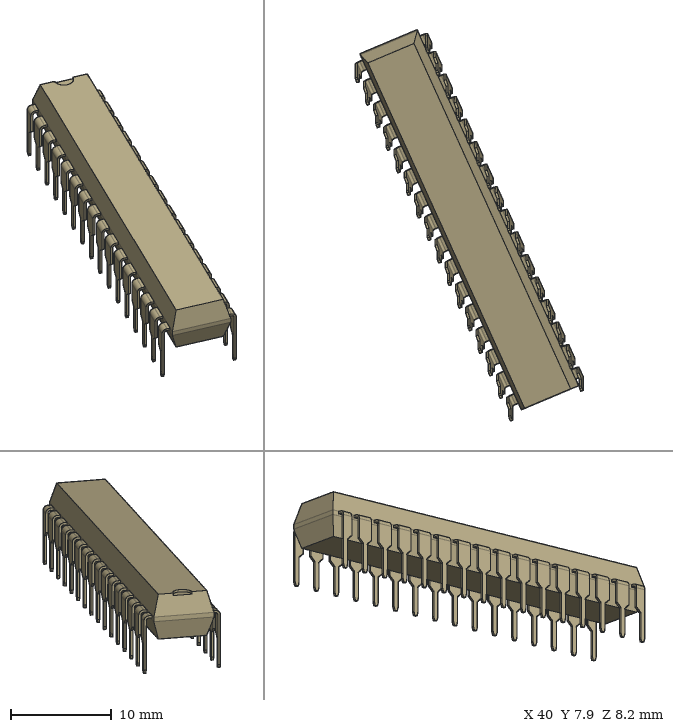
import cadquery as cq


body_length = 40.0
body_width = 6.2
band_height = 0.5
top_height = 2.4
bottom_height = 2.3
end_inset = 0.55
side_inset = 0.6

notch_radius = 0.95
notch_depth = 0.25

leads_per_row = 16
lead_pitch = 2.54
lead_thickness = 0.25
lead_top = 0.2
row_span = 7.9
bend_radius = 0.5
lead_depth = 5.8
wide_width = 1.55
pin_width = 0.5
tip_width = 0.3
shoulder_top = 2.3
shoulder_bottom = 2.8
tip_taper_height = 0.35
lead_embed = 0.4


def tapered_half(height):
    """Half of the body, from the parting plane to an end face; a negative height points down."""
    direction = 1 if height > 0 else -1
    band_edge = direction * band_height / 2
    band = cq.Workplane("XY").rect(body_length, body_width).extrude(band_edge)
    taper = (
        cq.Workplane("XY")
        .workplane(offset=band_edge)
        .rect(body_length, body_width)
        .workplane(offset=height - band_edge)
        .rect(body_length - 2 * end_inset, body_width - 2 * side_inset)
        .loft(ruled=True)
    )
    return band.union(taper)


def make_body():
    notch = (
        cq.Workplane("XY")
        .workplane(offset=top_height - notch_depth)
        .center(end_inset - body_length / 2, 0)
        .circle(notch_radius)
        .extrude(notch_depth)
    )
    return tapered_half(top_height).union(tapered_half(-bottom_height)).cut(notch)


def bent_strip():
    """Both lead rows as uncut sheets: out of the body sides, round the bend and straight down."""
    outer = row_span / 2
    root = body_width / 2 - lead_embed
    bottom = lead_top - lead_thickness
    inner_radius = bend_radius - lead_thickness
    diagonal = 0.5 ** 0.5
    bend_y = outer - bend_radius
    bend_z = lead_top - bend_radius
    back_row = (
        cq.Workplane("YZ")
        .moveTo(root, lead_top)
        .lineTo(bend_y, lead_top)
        .threePointArc((bend_y + bend_radius * diagonal, bend_z + bend_radius * diagonal), (outer, bend_z))
        .lineTo(outer, -lead_depth)
        .lineTo(outer - lead_thickness, -lead_depth)
        .lineTo(outer - lead_thickness, bend_z)
        .threePointArc(
            (bend_y + inner_radius * diagonal, bend_z + inner_radius * diagonal),
            (bend_y, bottom),
        )
        .lineTo(root, bottom)
        .close()
        .extrude(body_length / 2, both=True)
    )
    return back_row.union(back_row.mirror("XZ"))


def lead_outline(center_x, left_width, right_width):
    """Block with the face outline of one lead; the widths run from the lead axis to each shoulder side."""
    half_pin = pin_width / 2
    half_tip = tip_width / 2
    taper_z = tip_taper_height - lead_depth
    points = [
        (-left_width, lead_top),
        (-left_width, -shoulder_top),
        (-half_pin, -shoulder_bottom),
        (-half_pin, taper_z),
        (-half_tip, -lead_depth),
        (half_tip, -lead_depth),
        (half_pin, taper_z),
        (half_pin, -shoulder_bottom),
        (right_width, -shoulder_top),
        (right_width, lead_top),
    ]
    return cq.Workplane("XZ").center(center_x, 0).polyline(points).close().extrude(row_span, both=True)


def make_leads():
    outlines = cq.Workplane("XY")
    half_wide = wide_width / 2
    half_pin = pin_width / 2
    last = leads_per_row - 1
    for index in range(leads_per_row):
        center_x = (index - last / 2) * lead_pitch
        left_width = half_pin if index == 0 else half_wide
        right_width = half_pin if index == last else half_wide
        outlines = outlines.add(lead_outline(center_x, left_width, right_width))
    return bent_strip().intersect(outlines.combine())


result = make_body().union(make_leads())